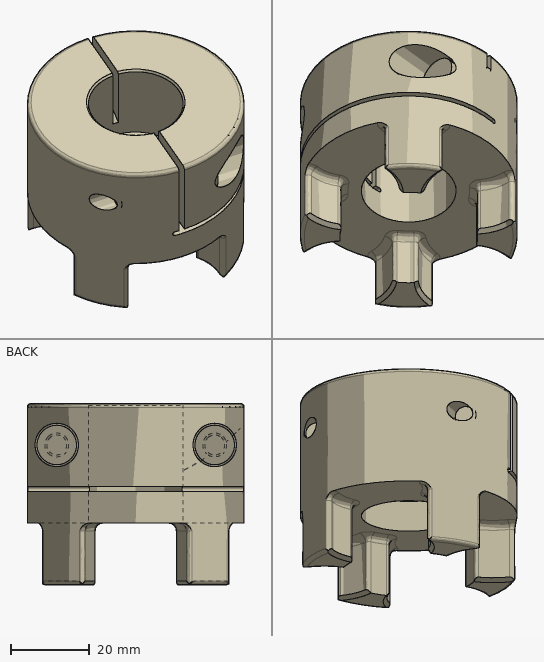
import cadquery as cq
import math


hub_radius = 27.5
hub_height = 30.3
bore_radius = 12.0
bore_chamfer = 0.5
edge_round = 1.0

jaw_count = 4
jaw_length = 15.7
jaw_inner_radius = 17.45
jaw_tip_chamfer = 1.0
jaw_root_round = 2.0
pocket_radius = 12.8
pocket_offset = 22.55

cross_slot_width = 1.25
cross_slot_mid_z = 8.6
cross_slot_end_y = -2.4

clamp_slot_width = 1.5
saw_radius = 50.0
saw_center_x = 10.0
saw_entry_depth = 5.15
saw_entry_z = hub_height - saw_entry_depth
saw_center_z = saw_entry_z + math.sqrt(saw_radius**2 - (hub_radius + saw_center_x) ** 2)

screw_x = 20.0
screw_positions = (-screw_x, screw_x)
screw_depth = 10.5
screw_z = hub_height - screw_depth
shank_radius = 3.0
shank_length = 20.0
head_radius = 5.0
head_height = 6.0
head_end_y = 11.35
head_seat_y = head_end_y - head_height
shank_tip_y = head_seat_y - shank_length
counterbore_radius = 5.5
exit_hole_radius = 2.55


def cylinder_along_y(x, radius, y_start, y_end):
    """Cylinder parallel to Y at the height of the screws."""
    start = cq.Vector(x, y_start, screw_z)
    return cq.Workplane(cq.Solid.makeCylinder(radius, y_end - y_start, start, cq.Vector(0, 1, 0)))


def make_jaws():
    """Four jaws with rounded upright corners and chamfered flank tips."""
    ring = cq.Workplane("XY").circle(hub_radius).circle(jaw_inner_radius).extrude(-jaw_length)
    pockets = (
        cq.Workplane("XY")
        .polarArray(pocket_offset, 0, 360, jaw_count)
        .circle(pocket_radius)
        .extrude(-jaw_length)
    )
    jaws = ring.cut(pockets).edges("|Z").fillet(edge_round)
    flare = cq.Workplane(
        cq.Solid.makeCone(pocket_radius + jaw_tip_chamfer, pocket_radius, jaw_tip_chamfer)
    ).translate((pocket_offset, 0, -jaw_length))
    for index in range(jaw_count):
        angle = index * 360 / jaw_count
        jaws = jaws.cut(flare.rotate((0, 0, 0), (0, 0, 1), angle))
    return jaws


def make_jawed_plate():
    """Oversized plate with the jaws, so that the root fillets run fully around each jaw."""
    plate_radius = hub_radius + 2 * jaw_root_round
    plate = cq.Workplane("XY").circle(plate_radius).extrude(hub_height).union(make_jaws())
    root_zone = cq.selectors.BoxSelector(
        (-hub_radius, -hub_radius, -0.05),
        (hub_radius, hub_radius, 0.05),
        boundingbox=True,
    )
    return plate.edges(root_zone).fillet(jaw_root_round)


def make_envelope():
    """Outer cylinder of hub and jaws, with its top and bottom edges rounded."""
    return (
        cq.Workplane("XY", origin=(0, 0, -jaw_length))
        .circle(hub_radius)
        .extrude(jaw_length + hub_height)
        .faces("<Z or >Z")
        .edges()
        .fillet(edge_round)
    )


def make_bore():
    """Through bore that opens into a chamfer at the top face."""
    mouth_radius = bore_radius + bore_chamfer
    return (
        cq.Workplane("XZ")
        .lineTo(bore_radius, 0)
        .lineTo(bore_radius, hub_height - bore_chamfer)
        .lineTo(mouth_radius, hub_height)
        .lineTo(0, hub_height)
        .close()
        .revolve(360, (0, 0, 0), (0, 1, 0))
    )


def make_cross_slot():
    """Horizontal slot, open toward +Y, with a round end just past the bore axis."""
    end_radius = cross_slot_width / 2
    bottom_z = cross_slot_mid_z - end_radius
    top_z = cross_slot_mid_z + end_radius
    return (
        cq.Workplane("YZ")
        .moveTo(hub_radius, bottom_z)
        .lineTo(cross_slot_end_y + end_radius, bottom_z)
        .threePointArc((cross_slot_end_y, cross_slot_mid_z), (cross_slot_end_y + end_radius, top_z))
        .lineTo(hub_radius, top_z)
        .close()
        .extrude(hub_radius, both=True)
    )


def make_clamp_slot():
    """Saw disc that cuts an arc floor on the -X side and runs out straight toward +X."""
    disc = (
        cq.Workplane("XZ", origin=(saw_center_x, 0, saw_center_z))
        .circle(saw_radius)
        .extrude(clamp_slot_width / 2, both=True)
    )
    run_out = cq.Workplane("XY", origin=(saw_center_x, 0, cross_slot_mid_z)).box(
        hub_radius - saw_center_x,
        clamp_slot_width,
        hub_height - cross_slot_mid_z,
        centered=(False, True, False),
    )
    return disc.union(run_out)


def make_screw_hole(x):
    """Counterbore, shank hole and narrower exit hole for one screw."""
    counterbore = cylinder_along_y(x, counterbore_radius, head_seat_y, hub_radius)
    shank_hole = cylinder_along_y(x, shank_radius, shank_tip_y, head_seat_y)
    exit_hole = cylinder_along_y(x, exit_hole_radius, -hub_radius, shank_tip_y)
    return counterbore.union(shank_hole).union(exit_hole)


def make_hub():
    hub = make_jawed_plate().intersect(make_envelope()).cut(make_bore())
    hub = hub.cut(make_cross_slot()).cut(make_clamp_slot())
    for x in screw_positions:
        hub = hub.cut(make_screw_hole(x))
    return hub


def make_screw(x):
    """Cylinder-head screw that fills its shank hole and rests on the counterbore floor."""
    head = cylinder_along_y(x, head_radius, head_seat_y, head_end_y)
    shank = cylinder_along_y(x, shank_radius, shank_tip_y, head_seat_y)
    return head.union(shank)


hub = make_hub()
screws = [make_screw(x) for x in screw_positions]
result = cq.Compound.makeCompound(
    [hub.solids().val(), *[screw.solids().val() for screw in screws]]
)